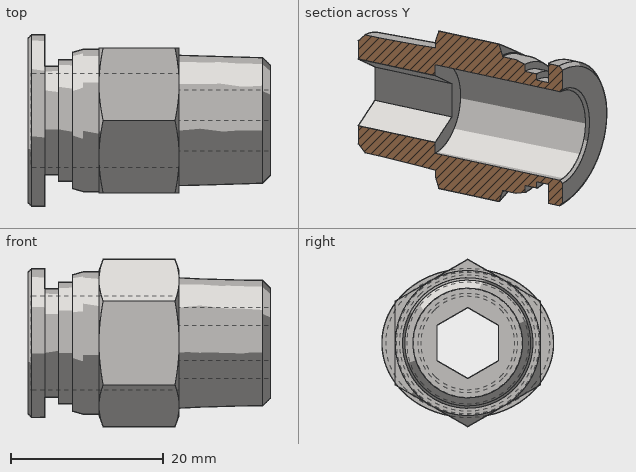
import cadquery as cq
import math

CAP_END = 2.23
NECK_END = 4.0
SHOULDER_END = 5.82
COLLAR_BEVEL_END = 7.28
HEX_START = 9.32
HEX_END = 19.8
THREAD_BEVEL_START = 30.75
TOTAL_LENGTH = 31.8

CAP_WIDTH = 22.5
CAP_HEIGHT = 19.53
CAP_CHAMFER = 0.5

NECK_RADIUS = 7.12
SHOULDER_RADIUS = 7.98
COLLAR_RADIUS = 9.35
COLLAR_FRONT_RADIUS = 8.95
THREAD_LARGE_RADIUS = 8.55
THREAD_SMALL_RADIUS = 8.25
THREAD_TIP_RADIUS = 7.2

HEX_CORNERS = 21.95
HEX_CHAMFER_LENGTH = 0.55
HEX_FLATS = HEX_CORNERS * math.cos(math.pi / 6)

BORE_RADIUS = 6.15
BORE_MOUTH_CHAMFER = 0.38
BORE_DEPTH = HEX_END
SOCKET_FLATS = 8.0
SOCKET_CORNERS = SOCKET_FLATS / math.cos(math.pi / 6)


def revolve_about_x(profile):
    """Revolve a closed (x, radius) profile about the X axis."""
    return cq.Workplane("XY").polyline(profile).close().revolve(360, (0, 0, 0), (1, 0, 0))


def hex_prism(corner_distance, start, end):
    """Hexagonal prism along X with two corners on the Z axis."""
    prism = cq.Workplane("YZ").workplane(offset=start).polygon(6, corner_distance).extrude(end - start)
    return prism.rotate((0, 0, 0), (1, 0, 0), 90)


def release_cap():
    cap = cq.Workplane("YZ").ellipse(CAP_WIDTH / 2, CAP_HEIGHT / 2).extrude(CAP_END)
    return cap.faces("<X").chamfer(CAP_CHAMFER)


def round_body():
    return revolve_about_x([
        (CAP_END, 0),
        (CAP_END, NECK_RADIUS),
        (NECK_END, NECK_RADIUS),
        (NECK_END, SHOULDER_RADIUS),
        (SHOULDER_END, SHOULDER_RADIUS),
        (SHOULDER_END, COLLAR_FRONT_RADIUS),
        (COLLAR_BEVEL_END, COLLAR_RADIUS),
        (HEX_START, COLLAR_RADIUS),
        (HEX_END, THREAD_LARGE_RADIUS),
        (THREAD_BEVEL_START, THREAD_SMALL_RADIUS),
        (TOTAL_LENGTH, THREAD_TIP_RADIUS),
        (TOTAL_LENGTH, 0),
    ])


def outer_hex():
    """Hexagon whose corners are trimmed by a cone at each end."""
    prism = hex_prism(HEX_CORNERS, HEX_START, HEX_END)
    corner_trim = revolve_about_x([
        (HEX_START, 0),
        (HEX_START, HEX_FLATS / 2),
        (HEX_START + HEX_CHAMFER_LENGTH, HEX_CORNERS / 2),
        (HEX_END - HEX_CHAMFER_LENGTH, HEX_CORNERS / 2),
        (HEX_END, HEX_FLATS / 2),
        (HEX_END, 0),
    ])
    return prism.intersect(corner_trim)


def tube_bore():
    return revolve_about_x([
        (0, 0),
        (0, BORE_RADIUS + BORE_MOUTH_CHAMFER),
        (BORE_MOUTH_CHAMFER, BORE_RADIUS),
        (BORE_DEPTH, BORE_RADIUS),
        (BORE_DEPTH, 0),
    ])


solid_body = release_cap().union(round_body()).union(outer_hex())
key_socket = hex_prism(SOCKET_CORNERS, 0, TOTAL_LENGTH)
result = solid_body.cut(tube_bore()).cut(key_socket)